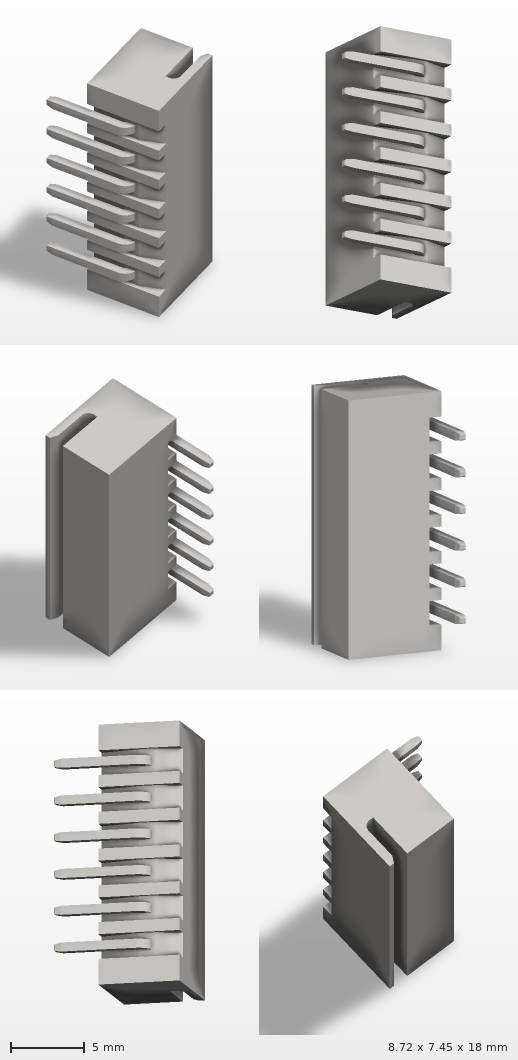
import cadquery as cq

length = 17.96
housing_width = 5.68
housing_depth = 7.0
back_x = housing_width / 2
front_x = -housing_width / 2

slot_width = 0.88
slot_depth = 3.6
slot_radius = 0.57
back_wall = 0.66
lip_chamfer_x = 0.29
lip_chamfer_y = 0.52

pin_count = 6
row_span = 12.7
pitch = row_span / (pin_count - 1)
pin_size = 0.63
pin_drop = 0.45
pin_overhang = 3.04
bend_radius = 0.99
bend_to_back = 2.01
pin_embed = 1.8

tip_length = 0.55
tip_end_length = 0.05
tip_taper_size = 0.45
tip_end_size = 0.32

recess_height = 1.7
recess_end_depth = 0.9
recess_ridge_depth = 0.3
ridge_start = 2.8
ridge_width = 1.13


def make_housing():
    return cq.Workplane("XY").box(housing_width, housing_depth, length, centered=(True, False, True))


def make_slot():
    """Slot cut through the whole length, with one rounded corner and a chamfered lip."""
    lip_x = back_x - back_wall
    inner_x = lip_x - slot_width
    floor_y = housing_depth - slot_depth
    return (
        cq.Workplane("XY", origin=(0, 0, -length / 2))
        .moveTo(inner_x, housing_depth)
        .lineTo(inner_x, floor_y)
        .lineTo(lip_x - slot_radius, floor_y)
        .radiusArc((lip_x, floor_y + slot_radius), -slot_radius)
        .lineTo(lip_x, housing_depth - lip_chamfer_y)
        .lineTo(lip_x + lip_chamfer_x, housing_depth)
        .close()
        .extrude(length)
    )


def make_recess(z):
    """Recess across the pin face, deep at both ends and shallow at the ridge."""
    ridge_x = front_x + ridge_start
    outline = [
        (front_x, 0),
        (front_x, recess_end_depth),
        (ridge_x, recess_ridge_depth),
        (ridge_x + ridge_width, recess_ridge_depth),
        (back_x, recess_end_depth),
        (back_x, 0),
    ]
    return (
        cq.Workplane("XY", origin=(0, 0, z - recess_height / 2))
        .polyline(outline)
        .close()
        .extrude(recess_height)
    )


def make_taper(x, y, z, start_size, end_size, taper_length):
    """Square taper running toward -X from the given point."""
    return (
        cq.Workplane("YZ", origin=(x, y, z))
        .rect(start_size, start_size)
        .workplane(offset=-taper_length)
        .rect(end_size, end_size)
        .loft(combine=True)
    )


def make_pin(z):
    """Right-angle square pin: a leg along X, a rounded bend and a leg rising into the housing."""
    shank_x = front_x - pin_overhang + tip_length
    leg_x = back_x - bend_to_back
    bottom_y = -pin_drop
    top_y = bottom_y + pin_size
    inner_radius = bend_radius - pin_size
    bent_bar = (
        cq.Workplane("XY", origin=(0, 0, z - pin_size / 2))
        .moveTo(shank_x, bottom_y)
        .lineTo(leg_x - bend_radius, bottom_y)
        .radiusArc((leg_x, bottom_y + bend_radius), -bend_radius)
        .lineTo(leg_x, pin_embed)
        .lineTo(leg_x - pin_size, pin_embed)
        .lineTo(leg_x - pin_size, top_y + inner_radius)
        .radiusArc((leg_x - bend_radius, top_y), inner_radius)
        .lineTo(shank_x, top_y)
        .close()
        .extrude(pin_size)
    )
    axis_y = bottom_y + pin_size / 2
    long_taper_length = tip_length - tip_end_length
    end_x = shank_x - long_taper_length
    long_taper = make_taper(shank_x, axis_y, z, pin_size, tip_taper_size, long_taper_length)
    end_taper = make_taper(end_x, axis_y, z, tip_taper_size, tip_end_size, tip_end_length)
    return bent_bar.union(long_taper).union(end_taper)


pin_heights = [(i - (pin_count - 1) / 2) * pitch for i in range(pin_count)]

result = make_housing().cut(make_slot())
for z in pin_heights:
    result = result.cut(make_recess(z))
for z in pin_heights:
    result = result.union(make_pin(z))